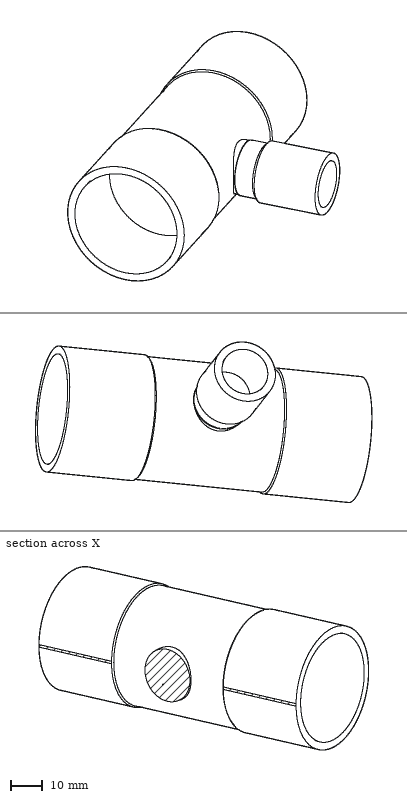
import cadquery as cq

BARREL_LENGTH = 99.0
SOCKET_DIAMETER = 40.0
SOCKET_BORE = 35.0
SOCKET_LENGTH = 28.0
BODY_DIAMETER = 39.0
SOCKET_WALL = (SOCKET_DIAMETER - SOCKET_BORE) / 2
SOCKET_STEP = (SOCKET_DIAMETER - BODY_DIAMETER) / 2

BRANCH_REACH = 48.0
ROOT_DIAMETER = 17.5
NECK_DIAMETER = 18.0
NECK_START = SOCKET_DIAMETER / 2
BRANCH_DIAMETER = 20.0
BRANCH_BORE = BRANCH_DIAMETER - 2 * SOCKET_WALL
BRANCH_LENGTH = 20.85
BRANCH_STEP = (BRANCH_DIAMETER - NECK_DIAMETER) / 2

HALF_LENGTH = BARREL_LENGTH / 2
BRANCH_START = BRANCH_REACH - BRANCH_LENGTH
TAPER_START = BRANCH_START - BRANCH_STEP


def make_barrel():
    """Solid barrel: socket, short taper, slimmer body, short taper, socket."""
    socket_radius = SOCKET_DIAMETER / 2
    body_radius = BODY_DIAMETER / 2
    socket_end = HALF_LENGTH - SOCKET_LENGTH
    body_end = socket_end - SOCKET_STEP
    profile = cq.Workplane("XY").polyline([
        (0, -HALF_LENGTH),
        (socket_radius, -HALF_LENGTH),
        (socket_radius, -socket_end),
        (body_radius, -body_end),
        (body_radius, body_end),
        (socket_radius, socket_end),
        (socket_radius, HALF_LENGTH),
        (0, HALF_LENGTH),
    ]).close()
    return profile.revolve(360, (0, 0, 0), (0, 1, 0))


def make_branch():
    """Solid branch: root inside the barrel, neck, taper and end socket."""
    root_radius = ROOT_DIAMETER / 2
    neck_radius = NECK_DIAMETER / 2
    branch_radius = BRANCH_DIAMETER / 2
    profile = cq.Workplane("XY").polyline([
        (0, 0),
        (0, root_radius),
        (NECK_START, root_radius),
        (NECK_START, neck_radius),
        (TAPER_START, neck_radius),
        (BRANCH_START, branch_radius),
        (BRANCH_REACH, branch_radius),
        (BRANCH_REACH, 0),
    ]).close()
    return profile.revolve(360, (0, 0, 0), (1, 0, 0))


def make_barrel_bore(side):
    """Blind bore of the socket on the given side of Y (-1 or +1)."""
    end_plane = cq.Workplane("XZ", origin=(0, side * HALF_LENGTH, 0))
    return end_plane.circle(SOCKET_BORE / 2).extrude(side * SOCKET_LENGTH)


def make_branch_bore():
    """Blind bore of the branch, as deep as its full-diameter length."""
    start_plane = cq.Workplane("YZ", origin=(BRANCH_START, 0, 0))
    return start_plane.circle(BRANCH_BORE / 2).extrude(BRANCH_LENGTH)


result = make_barrel().union(make_branch())
for side in (-1, 1):
    result = result.cut(make_barrel_bore(side))
result = result.cut(make_branch_bore())